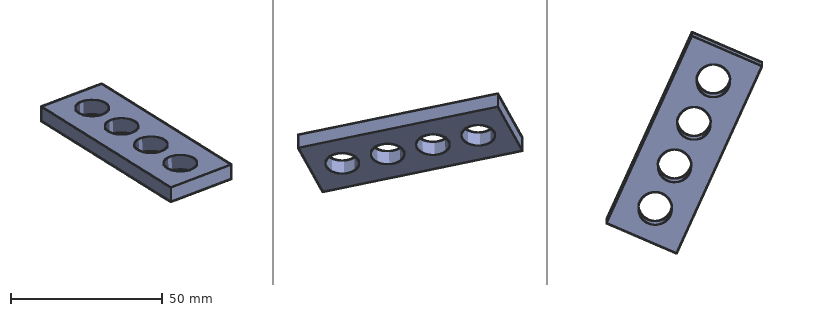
import cadquery as cq

length = 69.85
width = 25.4
thickness = 5.5

hole_count = 4
hole_diameter = 11.1
hole_pitch = 15.85

plate = cq.Workplane("XY").box(length, width, thickness)

result = (
    plate.faces(">Z")
    .workplane()
    .rarray(hole_pitch, 0.7, hole_count, 1)
    .hole(hole_diameter)
)